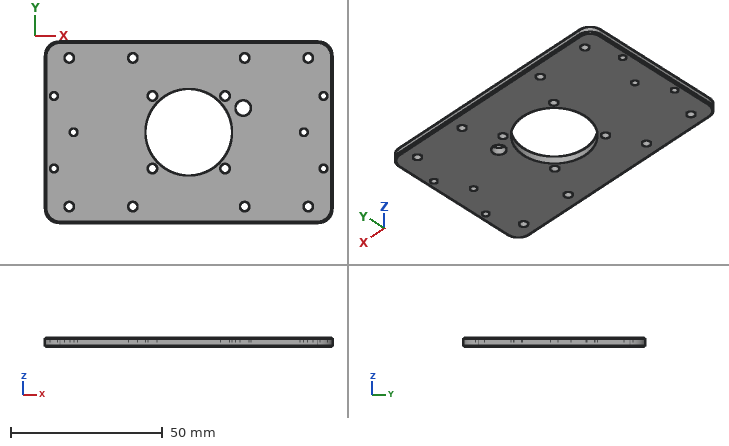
import cadquery as cq

length = 95.0
width = 60.0
thickness = 3.0
corner_radius = 5.0
edge_chamfer = 0.5

bore_diameter = 28.5
bore_screw_offset = 12.0
large_screw_diameter = 3.0

long_edge_row_y = 24.5
outer_screw_x = 39.4
inner_screw_x = 18.4

small_screw_diameter = 2.5
short_edge_screw_x = 44.5
midline_screw_x = 38.0

cable_hole_diameter = 5.0
cable_hole_position = (18.0, 8.0)


def four_corners(x, y):
    """Points mirrored about both centre lines of the plate."""
    return [(sx * x, sy * y) for sx in (-1, 1) for sy in (-1, 1)]


def drill(body, points, diameter):
    """Cut through holes at points measured from the plate centre."""
    return (
        body.faces(">Z")
        .workplane(origin=(0, 0, 0))
        .pushPoints(points)
        .hole(diameter)
    )


plate = (
    cq.Workplane("XY")
    .box(length, width, thickness)
    .edges("|Z")
    .fillet(corner_radius)
    .faces("<Z or >Z")
    .chamfer(edge_chamfer)
)

large_screws = (
    four_corners(outer_screw_x, long_edge_row_y)
    + four_corners(inner_screw_x, long_edge_row_y)
    + four_corners(bore_screw_offset, bore_screw_offset)
)

small_screws = four_corners(short_edge_screw_x, bore_screw_offset)
small_screws += [(-midline_screw_x, 0), (midline_screw_x, 0)]

plate = drill(plate, [(0, 0)], bore_diameter)
plate = drill(plate, large_screws, large_screw_diameter)
plate = drill(plate, small_screws, small_screw_diameter)
plate = drill(plate, [cable_hole_position], cable_hole_diameter)

result = plate